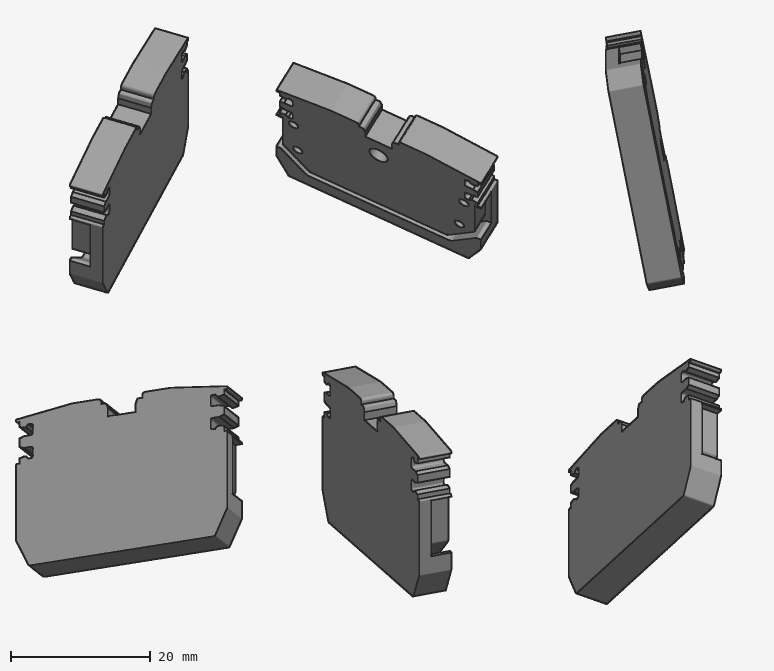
import cadquery as cq

thickness = 5.1
half_length = 16.6
height = 23.8

shoulder_start = 7.75
shoulder_end_z = 22.68
notch_half_width = 3.22
notch_step_z = 22.97
notch_lip = 2.45
notch_floor_half_width = 2.15
notch_taper_z = 22.2
notch_floor_z = 20.95

tongue_mid_z = 19.05
slot_floor_radius = 0.35

recessed_end = 16.07
taper_end = 15.35
hook_outer = 15.07
hook_inner = 14.65
slot_floor = 13.95

tongue_tip = 0.63
slot_inner = 0.9
slot_throat = 2.22
slot_mouth = 2.42
slot_outer = 2.62
lip = 3.2

foot_half_width = 14.6
foot_top_z = 4.12

channel_depth = 3.2
deep_channel_depth = 4.15
deep_channel_half_width = 14.97
channel_top_z = 15.55
panel_half_width = 15.57
panel_corner_z = 8.25
panel_bottom_z = 3.82
ledge_end_z = 6.8
ledge_bottom_z = 2.6
ledge_corner = 11.7
ledge_inner_radius = 1.25
panel_corner_radius = 0.5
ledge_outer_radius = 0.2

hole_depth = channel_depth
pivot_diameter = 3.0
pivot_z = 17.4
pin_diameter = 1.53
upper_pin = (13.8, 15.0)
lower_pin = (13.1, 8.45)

edge_radius = 0.215
foot_radius = 0.33
notch_radius = 0.5
notch_lip_radius = 0.25

corner_tolerance = 0.015


def symmetric_plate(half_outline, depth):
    """Mirror a half outline about Y = 0 and extrude it along +X."""
    mirrored = [(-y, z) for y, z in reversed(half_outline)]
    return cq.Workplane("YZ").polyline(half_outline + mirrored).close().extrude(depth)


def round_corner(body, y, z, radius):
    """Round the X-parallel edges at (y, z) and (-y, z)."""
    for side in (-y, y):
        box = cq.selectors.BoxSelector(
            (-thickness, side - corner_tolerance, z - corner_tolerance),
            (2 * thickness, side + corner_tolerance, z + corner_tolerance),
        )
        body = body.edges(box).fillet(radius)
    return body


def slot_outline():
    """Upper slot from its outer mouth round to the tongue tip, as (Y, height above the tongue middle)."""
    return [
        (half_length, lip),
        (recessed_end, lip),
        (recessed_end, slot_mouth),
        (taper_end, slot_throat),
        (hook_outer, slot_throat),
        (hook_inner, slot_outer),
        (slot_floor, slot_outer),
        (slot_floor, slot_inner),
        (taper_end, slot_inner),
        (recessed_end, tongue_tip),
    ]


def make_body():
    top = [
        (notch_floor_half_width, notch_floor_z),
        (notch_floor_half_width, notch_taper_z),
        (notch_lip, notch_step_z),
        (notch_half_width, notch_step_z),
        (notch_half_width, height),
        (shoulder_start, height),
        (half_length, shoulder_end_z),
    ]
    upper_slot = [(y, tongue_mid_z + rise) for y, rise in slot_outline()]
    lower_slot = [(y, tongue_mid_z - rise) for y, rise in reversed(slot_outline())]
    foot = [(half_length, foot_top_z), (foot_half_width, 0)]
    body = symmetric_plate(top + upper_slot + lower_slot + foot, thickness)

    body = round_corner(body, notch_half_width, height, notch_radius)
    body = round_corner(body, notch_lip, notch_step_z, notch_lip_radius)
    body = round_corner(body, half_length, shoulder_end_z, edge_radius)
    body = round_corner(body, half_length, tongue_mid_z + lip, edge_radius)
    body = round_corner(body, half_length, tongue_mid_z - lip, edge_radius)
    body = round_corner(body, half_length, foot_top_z, foot_radius)
    body = round_corner(body, foot_half_width, 0, foot_radius)
    for direction in (-1, 1):
        for rise in (slot_inner, slot_outer):
            corner_z = tongue_mid_z + direction * rise
            body = round_corner(body, slot_floor, corner_z, slot_floor_radius)
    return body


def make_channel():
    """Space between the central panel and the surrounding ledge."""
    ledge_end = ledge_corner + ledge_end_z - ledge_bottom_z
    outer = [
        (half_length, channel_top_z),
        (half_length, ledge_end_z),
        (ledge_end, ledge_end_z),
        (ledge_corner, ledge_bottom_z),
    ]
    panel_corner = panel_half_width - (panel_corner_z - panel_bottom_z)
    panel = [
        (panel_half_width, height),
        (panel_half_width, panel_corner_z),
        (panel_corner, panel_bottom_z),
    ]
    channel = symmetric_plate(outer, deep_channel_depth)
    channel = round_corner(channel, ledge_corner, ledge_bottom_z, ledge_inner_radius)
    channel = round_corner(channel, ledge_end, ledge_end_z, ledge_outer_radius)
    panel_block = symmetric_plate(panel, thickness)
    panel_block = round_corner(panel_block, panel_half_width, panel_corner_z, panel_corner_radius)
    channel = channel.cut(panel_block)

    end_width = half_length - deep_channel_half_width
    for side in (-1, 1):
        shallow_floor = cq.Workplane("XY").box(
            thickness, end_width, height, centered=(False, True, False)
        ).translate((channel_depth, side * (half_length - end_width / 2), 0))
        channel = channel.cut(shallow_floor)
    return channel


def make_holes():
    pins = [(side * y, z) for side in (-1, 1) for y, z in (upper_pin, lower_pin)]
    pin_holes = cq.Workplane("YZ").pushPoints(pins).circle(pin_diameter / 2).extrude(hole_depth)
    pivot_hole = cq.Workplane("YZ").center(0, pivot_z).circle(pivot_diameter / 2).extrude(hole_depth)
    return pin_holes.union(pivot_hole)


result = make_body().cut(make_channel()).cut(make_holes())